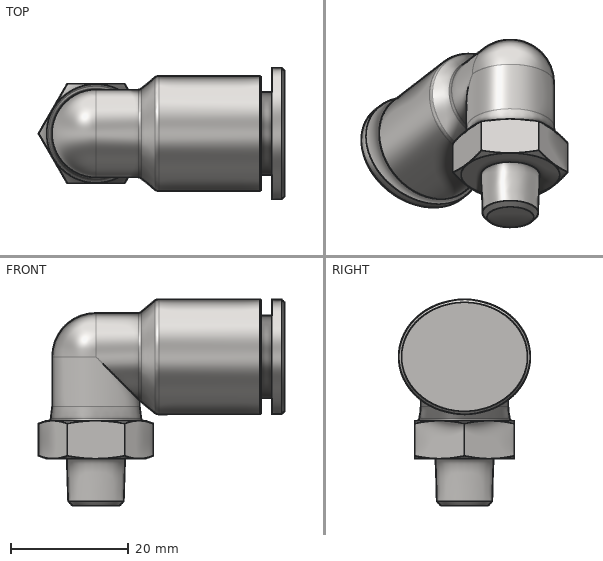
import cadquery as cq
import math


pipe_radius = 7.5

skirt_top_z = -8.45
skirt_bottom_z = -10.5
skirt_radius = 7.75
skirt_fillet = 0.4

nut_across_flats = 17.0
nut_height = 6.5
nut_face_radius = 8.43
nut_chamfer_angle = 20.0
nut_top_z = skirt_bottom_z - skirt_fillet
nut_bottom_z = nut_top_z - nut_height
nut_sides = 6
nut_corner_radius = nut_across_flats / 2 / math.cos(math.pi / nut_sides)
nut_chamfer_drop = (nut_corner_radius - nut_face_radius) * math.tan(math.radians(nut_chamfer_angle))

thread_top_radius = 5.0
thread_taper = 1 / 32
thread_end_radius = 4.0
thread_end_z = -25.45
thread_end_chamfer = 0.82
thread_chamfer_z = thread_end_z + thread_end_chamfer
thread_bottom_radius = thread_top_radius - (nut_bottom_z - thread_chamfer_z) * thread_taper

body_radius = 9.85
cone_start_x = 7.5
cone_end_x = 10.33
body_end_x = 28.25
body_end_chamfer = 0.25
cone_inner_fillet = 0.85
cone_outer_fillet = 1.0
edge_search_margin = 0.1

collar_neck_radius = 7.1
flange_start_x = 30.05
flange_end_x = 32.2
flange_half_width = 11.25
flange_half_height = 9.8
flange_chamfer = 0.5


def make_elbow():
    """Two equal pipes meeting in a mitre, with a ball closing the outer corner."""
    ball = cq.Workplane("XY").sphere(pipe_radius)
    down_pipe = cq.Workplane("XY").circle(pipe_radius).extrude(skirt_top_z)
    side_pipe = cq.Workplane("YZ").circle(pipe_radius).extrude(cone_start_x)
    return down_pipe.union(side_pipe).union(ball)


def make_skirt():
    """Flared ring between the vertical pipe and the nut, ending in a concave fillet."""
    fillet_centre_r = skirt_radius + skirt_fillet
    fillet_reach = skirt_fillet * math.sqrt(0.5)
    return (
        cq.Workplane("XZ")
        .moveTo(0, skirt_top_z)
        .lineTo(pipe_radius, skirt_top_z)
        .lineTo(skirt_radius, skirt_bottom_z)
        .threePointArc(
            (fillet_centre_r - fillet_reach, skirt_bottom_z - fillet_reach),
            (fillet_centre_r, nut_top_z),
        )
        .lineTo(0, nut_top_z)
        .close()
        .revolve(360, (0, 0), (0, 1))
    )


def make_nut():
    """Hexagon with corners on the X axis, trimmed by a cone at each end."""
    hexagon = (
        cq.Workplane("XY")
        .workplane(offset=nut_bottom_z)
        .polygon(nut_sides, 2 * nut_corner_radius)
        .extrude(nut_height)
    )
    trim = (
        cq.Workplane("XZ")
        .moveTo(0, nut_top_z)
        .lineTo(nut_face_radius, nut_top_z)
        .lineTo(nut_corner_radius, nut_top_z - nut_chamfer_drop)
        .lineTo(nut_corner_radius, nut_bottom_z + nut_chamfer_drop)
        .lineTo(nut_face_radius, nut_bottom_z)
        .lineTo(0, nut_bottom_z)
        .close()
        .revolve(360, (0, 0), (0, 1))
    )
    return hexagon.intersect(trim)


def make_thread():
    """Tapered plug below the nut with a chamfered end."""
    return (
        cq.Workplane("XZ")
        .moveTo(0, nut_bottom_z)
        .lineTo(thread_top_radius, nut_bottom_z)
        .lineTo(thread_bottom_radius, thread_chamfer_z)
        .lineTo(thread_end_radius, thread_end_z)
        .lineTo(0, thread_end_z)
        .close()
        .revolve(360, (0, 0), (0, 1))
    )


def edges_near_x(x):
    """Selector for the socket edges centred at the given distance along X."""
    return cq.selectors.BoxSelector(
        (x - edge_search_margin, -body_radius, -body_radius),
        (x + edge_search_margin, body_radius, body_radius),
    )


def make_socket():
    """Socket body widening from the side pipe through a filleted cone."""
    return (
        cq.Workplane("XZ")
        .lineTo(0, pipe_radius)
        .lineTo(cone_start_x, pipe_radius)
        .lineTo(cone_end_x, body_radius)
        .lineTo(body_end_x, body_radius)
        .lineTo(body_end_x, 0)
        .close()
        .revolve(360, (0, 0), (1, 0))
        .faces(">X")
        .chamfer(body_end_chamfer)
        .edges(edges_near_x(cone_start_x))
        .fillet(cone_inner_fillet)
        .edges(edges_near_x(cone_end_x))
        .fillet(cone_outer_fillet)
    )


def make_collar():
    """Release collar: round neck carrying an elliptical flange, wider in Y than in Z."""
    neck = (
        cq.Workplane("YZ")
        .workplane(offset=body_end_x)
        .circle(collar_neck_radius)
        .extrude(flange_start_x - body_end_x)
    )
    flange = (
        cq.Workplane("YZ")
        .workplane(offset=flange_start_x)
        .ellipse(flange_half_width, flange_half_height)
        .extrude(flange_end_x - flange_start_x)
        .faces(">X")
        .chamfer(flange_chamfer)
    )
    return neck.union(flange)


result = make_elbow()
for section in (make_socket(), make_collar(), make_skirt(), make_nut(), make_thread()):
    result = result.union(section)